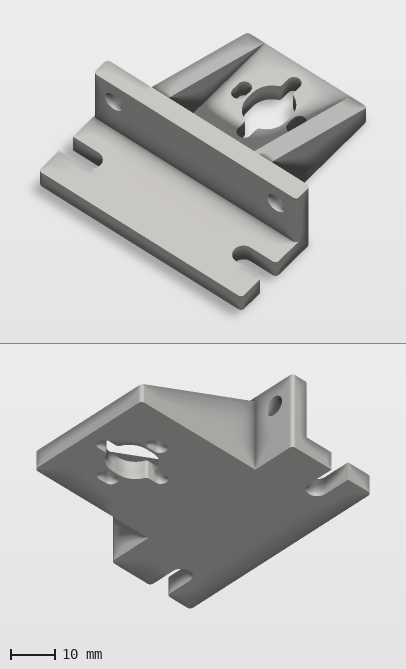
import cadquery as cq

width = 59.0
length = 61.0
height = 21.0
thickness = 5.0
base_depth = 25.0
corner_radius = 1.0

bracket_width = 34.85
rib_top = 19.75

screw_diameter = 5.2
screw_edge_distance = 6.0
notch_length = 10.0
notch_front_distance = 10.0
pattern_rear_distance = 14.0
small_slot_width = 3.5
adjustment_travel = 2.0
center_hole_diameter = 11.1
long_slot_length = 21.55
side_slot_offset = 8.0

wall_front = base_depth - thickness
bracket_length = length - base_depth
pattern_y = length - pattern_rear_distance


def box(size_x, size_y, size_z, y_start, z_start=0):
    """Block centered on X, starting at the given Y and Z."""
    block = cq.Workplane("XY").box(size_x, size_y, size_z, centered=(True, False, False))
    return block.translate((0, y_start, z_start))


def slot_cutter(x, y, overall_length, slot_width):
    """Round-ended through cutter running along Y."""
    cutter = cq.Workplane("XY").center(x, y).slot2D(overall_length, slot_width, 90)
    return cutter.extrude(thickness)


base = box(width, base_depth, thickness, 0).edges("|Z").fillet(corner_radius)
upper_wall = box(width, thickness, height - thickness, wall_front, thickness)
upper_wall = upper_wall.edges("|Z").fillet(corner_radius)
body = base.union(upper_wall)

bracket = (
    cq.Workplane("YZ")
    .moveTo(base_depth, 0)
    .lineTo(length, 0)
    .lineTo(length, thickness)
    .lineTo(base_depth, rib_top)
    .close()
    .extrude(bracket_width / 2, both=True)
    .edges("|Z and >Y")
    .fillet(corner_radius)
)
channel_width = bracket_width - 2 * thickness
bracket = bracket.cut(box(channel_width, bracket_length, height, base_depth, thickness))
body = body.union(bracket)

for side in (-1, 1):
    notch = (
        cq.Workplane("XY")
        .center(side * width / 2, notch_front_distance)
        .slot2D(2 * notch_length, screw_diameter)
        .extrude(thickness)
    )
    body = body.cut(notch)

for side in (-1, 1):
    mouth_corner = (width / 2, notch_front_distance + side * screw_diameter / 2, thickness / 2)
    mouth_edge = cq.selectors.NearestToPointSelector(mouth_corner)
    body = body.edges("|Z").edges(mouth_edge).fillet(corner_radius)

for side in (-1, 1):
    screw_hole = (
        cq.Workplane("XZ")
        .center(side * (width / 2 - screw_edge_distance), height - screw_edge_distance)
        .circle(screw_diameter / 2)
        .extrude(-base_depth)
    )
    body = body.cut(screw_hole)

center_opening_length = center_hole_diameter + adjustment_travel
center_opening = slot_cutter(0, pattern_y, center_opening_length, center_hole_diameter)
center_opening = center_opening.union(slot_cutter(0, pattern_y, long_slot_length, small_slot_width))
junction_reach = (center_opening_length + small_slot_width) / 2
inner_corners = cq.selectors.BoxSelector(
    (-small_slot_width, pattern_y - junction_reach, 0),
    (small_slot_width, pattern_y + junction_reach, thickness),
)
center_opening = center_opening.edges("|Z").edges(inner_corners).fillet(corner_radius)
body = body.cut(center_opening)

side_slot_length = small_slot_width + adjustment_travel
for side in (-1, 1):
    body = body.cut(slot_cutter(side * side_slot_offset, pattern_y, side_slot_length, small_slot_width))

result = body.translate((0, -length / 2, 0))